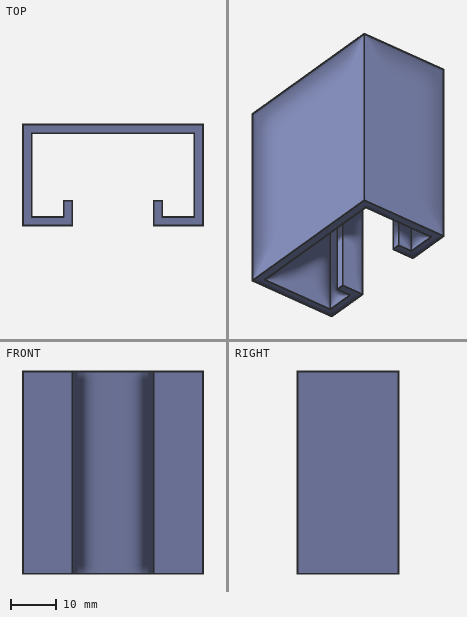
import cadquery as cq

width = 40.0
depth = 22.5
length = 45.0

wall = 2.0
slot_width = 18.0
lip_depth = 5.6


def block(x_size, y_size, y_start):
    """Full-length block centred on X, starting at y_start."""
    return (
        cq.Workplane("XY")
        .center(0, y_start + y_size / 2)
        .rect(x_size, y_size)
        .extrude(length)
    )


outer = block(width, depth, 0)
cavity = block(width - 2 * wall, depth - 2 * wall, wall)
tube = outer.cut(cavity)

returns = block(slot_width + 2 * wall, lip_depth, 0)

opening = block(slot_width, lip_depth, 0)

result = tube.union(returns).cut(opening)